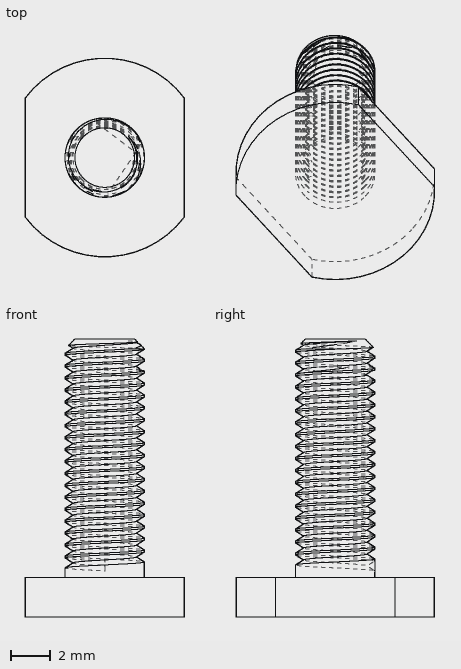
import cadquery as cq
import math

head_diameter = 10.0
head_width = 8.0
head_height = 2.0

total_height = 14.0
shank_diameter = 4.0
tip_chamfer = 0.5
seam_angle = 45.0

thread_pitch = 0.6
crest_width = 0.1
groove_depth = 0.4
groove_start_angle = 90.0
groove_start_rise = 0.58
groove_turns = 18.9
cutter_overhang = 0.1

shank_radius = shank_diameter / 2
shank_height = total_height - head_height
groove_width = thread_pitch - crest_width
flank_angle = math.atan(groove_width / 2 / groove_depth)


def rotate_about_z(body, angle):
    return body.rotate((0, 0, 0), (0, 0, 1), angle)


def make_head():
    """Disc with its base on Z = 0, trimmed to two flats facing +X and -X."""
    disc = cq.Workplane("XY").circle(head_diameter / 2).extrude(head_height)
    flats = cq.Workplane("XY").box(head_width, head_diameter, head_height, centered=(True, True, False))
    return disc.intersect(flats)


def make_shank():
    """Plain cylinder on top of the head with a chamfered tip."""
    shank = cq.Workplane("XY").workplane(offset=head_height).circle(shank_radius).extrude(shank_height)
    return rotate_about_z(shank.faces(">Z").chamfer(tip_chamfer), seam_angle)


def make_thread_cutter():
    """V profile swept along the helix, from just above the head up to the tip."""
    root_radius = shank_radius - groove_depth
    outer_radius = shank_radius + cutter_overhang
    half_mouth = (outer_radius - root_radius) * math.tan(flank_angle)
    helix = cq.Wire.makeHelix(thread_pitch, thread_pitch * groove_turns, shank_radius)
    cutter = (
        cq.Workplane("XZ")
        .moveTo(root_radius, 0)
        .lineTo(outer_radius, half_mouth)
        .lineTo(outer_radius, -half_mouth)
        .close()
        .sweep(cq.Workplane(obj=helix), isFrenet=True)
    )
    cutter = rotate_about_z(cutter, groove_start_angle)
    return cutter.translate((0, 0, head_height + groove_start_rise))


blank = make_head().union(make_shank())
result = blank.cut(make_thread_cutter()).solids()